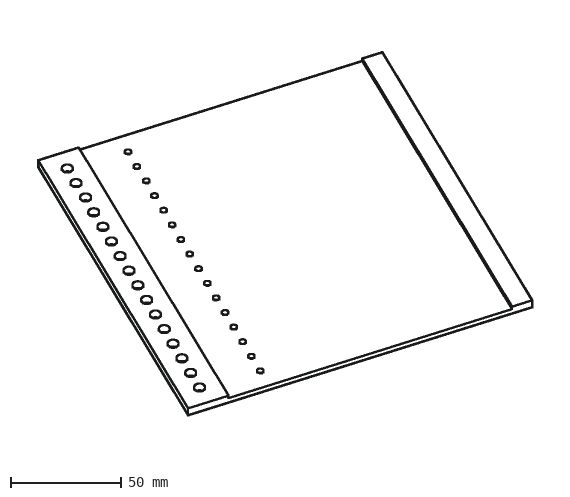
import cadquery as cq

plate_side = 170.0
thickness = 4.6
recess_depth = 1.6
grid_cells = 17
hole_to_pitch_front = 0.5
hole_to_pitch_floor = 0.3

column_shift = {3: 0.3, 5: 0.2}

grid_pitch = plate_side / grid_cells
floor_thickness = thickness - recess_depth
front_strip_width = 2 * grid_pitch
back_strip_width = grid_pitch
holes_per_row = grid_cells - 1
front_row_y = grid_pitch
floor_row_y = 4 * grid_pitch
front_hole_diameter = hole_to_pitch_front * grid_pitch
floor_hole_diameter = hole_to_pitch_floor * grid_pitch


def plate_with_recess():
    """Square plate with a full-width recess between the front and back strips."""
    recess_start = front_strip_width
    recess_end = plate_side - back_strip_width
    profile = [
        (0, 0),
        (plate_side, 0),
        (plate_side, thickness),
        (recess_end, thickness),
        (recess_end, floor_thickness),
        (recess_start, floor_thickness),
        (recess_start, thickness),
        (0, thickness),
    ]
    return cq.Workplane("YZ").polyline(profile).close().extrude(plate_side)


def hole_row(row_y, diameter):
    """Cutters for a row of through holes, one at each inner grid line along X."""
    centers = [
        (column * grid_pitch, row_y + column_shift.get(column, 0))
        for column in range(1, holes_per_row + 1)
    ]
    return cq.Workplane("XY").pushPoints(centers).circle(diameter / 2).extrude(thickness)


result = (
    plate_with_recess()
    .cut(hole_row(front_row_y, front_hole_diameter))
    .cut(hole_row(floor_row_y, floor_hole_diameter))
)